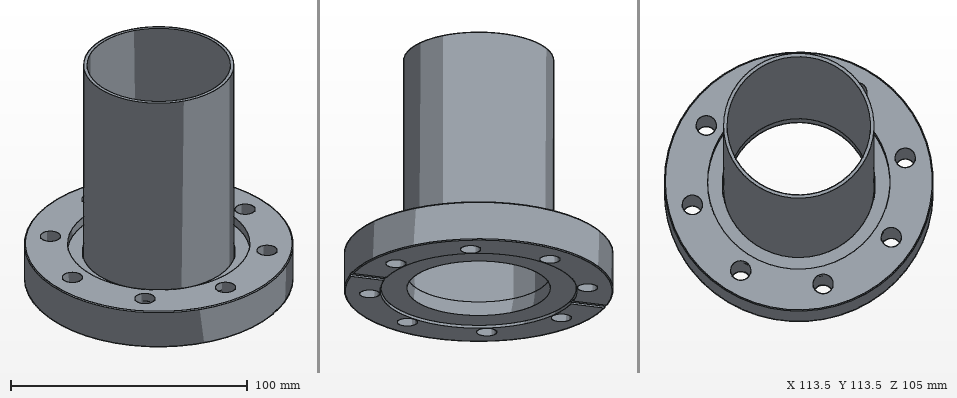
import cadquery as cq

flange_diameter = 113.5
flange_height = 17.5
total_height = 105.0
edge_chamfer = 0.5

tube_outer_diameter = 63.5
tube_inner_diameter = 60.5

bolt_count = 8
bolt_hole_diameter = 8.5
bolt_circle_diameter = 92.2
bolt_start_angle = 180.0 / bolt_count

lip_diameter = 77.0
lip_height = 4.0
insert_pocket_diameter = 83.2

groove_width = 3.3
groove_depth = 0.8

insert_diameter = 82.4
insert_base = 1.1
insert_top = flange_height - lip_height
insert_height = insert_top - insert_base
socket_diameter = 64.6
socket_depth = insert_height / 2
socket_floor = insert_top - socket_depth


def cylinder(diameter, height, base=0.0):
    """Solid cylinder standing on the Z axis at the given base height."""
    return cq.Workplane("XY").workplane(offset=base).circle(diameter / 2).extrude(height)


def leak_groove():
    """Bar along X that grooves the underside on both sides of the bore."""
    return cq.Workplane("XY").rect(flange_diameter, groove_width).extrude(groove_depth)


def make_ring():
    """Outer ring with chamfered rims, a pocket for the insert, a lip, bolt holes and leak grooves."""
    ring = cylinder(flange_diameter, flange_height).edges().chamfer(edge_chamfer)
    ring = ring.cut(cylinder(lip_diameter, flange_height))
    ring = ring.cut(cylinder(insert_pocket_diameter, insert_top))
    bolt_holes = (
        cq.Workplane("XY")
        .polarArray(bolt_circle_diameter / 2, bolt_start_angle, 360, bolt_count)
        .circle(bolt_hole_diameter / 2)
        .extrude(flange_height)
    )
    return ring.cut(bolt_holes).cut(leak_groove())


def make_insert():
    """Disc with a through bore and a clearance socket that the tube stands in."""
    insert = cylinder(insert_diameter, insert_height, insert_base)
    insert = insert.cut(cylinder(tube_inner_diameter, insert_height, insert_base))
    return insert.cut(cylinder(socket_diameter, socket_depth, socket_floor))


def make_tube():
    """Plain tube from the socket floor to the top."""
    tube_length = total_height - socket_floor
    outside = cylinder(tube_outer_diameter, tube_length, socket_floor)
    return outside.cut(cylinder(tube_inner_diameter, tube_length, socket_floor))


ring = make_ring()
insert = make_insert()
tube = make_tube()

result = cq.Compound.makeCompound([ring.val(), insert.val(), tube.val()])